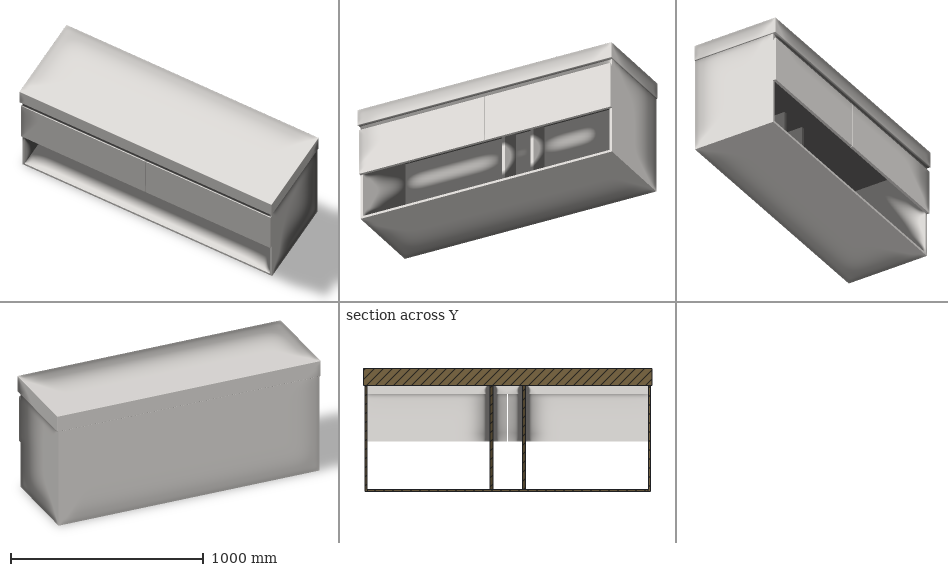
import cadquery as cq

top_width = 1500.0
top_depth = 500.0
overall_height = 640.0

top_thickness = 90.0
top_edge_radius = 2.0
cabinet_width = 1485.0
cabinet_depth = 480.0
cabinet_height = overall_height - top_thickness
panel_thickness = 14.0
inner_width = cabinet_width - 2 * panel_thickness

apron_height = 45.0
apron_thickness = 18.0

front_thickness = 16.0
front_lip = 5.0
front_height = 261.0
front_bottom = 260.0
front_gap = 3.0
front_width = (cabinet_width - front_gap) / 2

back_thickness = 18.0
rib_thickness = 18.0
rib_depth = 120.0
rib_clear_width = 150.0


def board(width, depth, height, center_x, front_y, bottom_z):
    """Rectangular board centred on center_x and running back from front_y."""
    return (
        cq.Workplane("XY")
        .box(width, depth, height, centered=(True, False, False))
        .translate((center_x, front_y, bottom_z))
    )


def make_countertop():
    """Thick slab with rounded edges and an apron that closes the front between the side panels."""
    slab = board(top_width, top_depth, top_thickness, 0, -top_depth, cabinet_height)
    slab = slab.edges().fillet(top_edge_radius)
    apron = board(
        inner_width, apron_thickness, apron_height, 0, -cabinet_depth, cabinet_height - apron_height
    )
    return slab.union(apron)


def make_side_panel(side):
    """Full-height side; side is -1 for left and 1 for right."""
    center_x = side * (cabinet_width - panel_thickness) / 2
    return board(panel_thickness, cabinet_depth, cabinet_height, center_x, -cabinet_depth, 0)


def make_bottom_panel():
    """Floor board fitted between the sides."""
    return board(inner_width, cabinet_depth, panel_thickness, 0, -cabinet_depth, 0)


def make_back_panel():
    """Back board standing on the floor board, with two ribs either side of the middle."""
    height = cabinet_height - panel_thickness
    back = board(inner_width, back_thickness, height, 0, -back_thickness, panel_thickness)
    for side in (-1, 1):
        center_x = side * (rib_clear_width + rib_thickness) / 2
        rib = board(
            rib_thickness, rib_depth, height, center_x, -back_thickness - rib_depth, panel_thickness
        )
        back = back.union(rib)
    return back


def make_drawer_front(side):
    """Front with a 45-degree finger grip: its top slopes from a narrow lip to the cabinet."""
    center_x = side * (front_width + front_gap) / 2
    back_y = -cabinet_depth
    front_y = back_y - front_thickness
    bevel = front_thickness - front_lip
    front_top = front_bottom + front_height
    profile = [
        (front_y, front_bottom),
        (back_y, front_bottom),
        (back_y, front_top - bevel),
        (back_y - bevel, front_top),
        (front_y, front_top),
    ]
    return (
        cq.Workplane("YZ")
        .polyline(profile)
        .close()
        .extrude(front_width / 2, both=True)
        .translate((center_x, 0, 0))
    )


countertop = make_countertop()
bottom_panel = make_bottom_panel()
back_panel = make_back_panel()
side_panels = [make_side_panel(side) for side in (-1, 1)]
drawer_fronts = [make_drawer_front(side) for side in (-1, 1)]

result = cq.Compound.makeCompound([
    countertop.val(),
    bottom_panel.val(),
    back_panel.val(),
    *[panel.val() for panel in side_panels],
    *[front.val() for front in drawer_fronts],
])